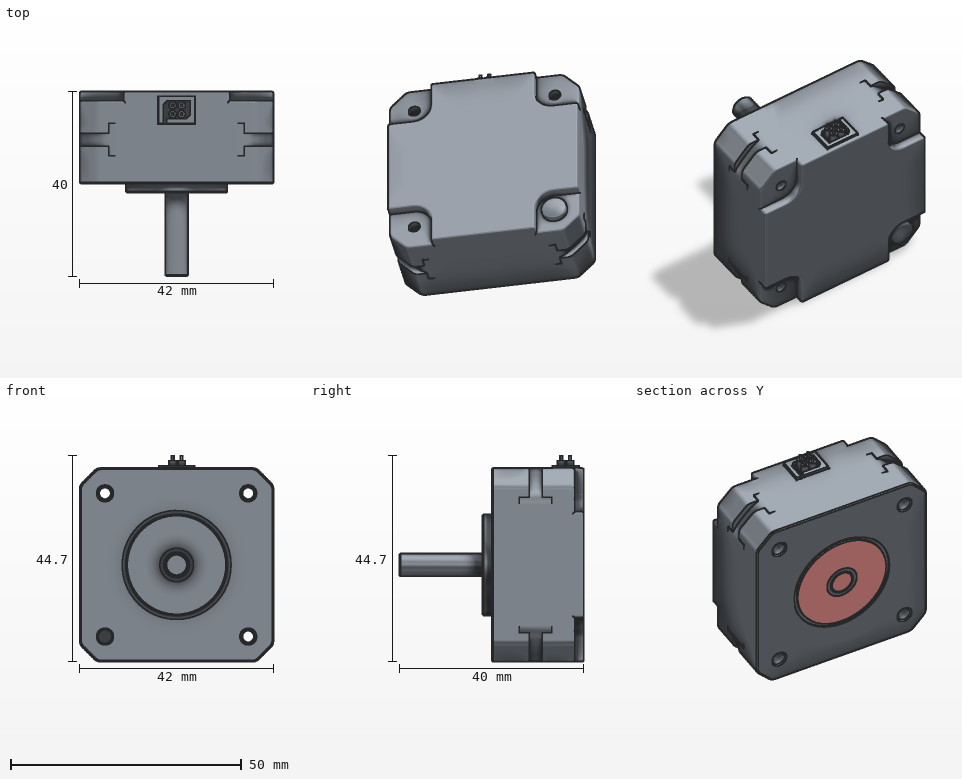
import cadquery as cq


body_side = 42.0
half_side = body_side / 2
body_length = 20.0
corner_cut = 3.8
corner_radius = 2.1
small_chamfer = 0.3

hole_offset = 15.5
tapped_diameter = 3.0
tapped_depth = 4.45
bolt_diameter = 2.5
hole_chamfer = 0.3
mouth_taper = 45.0

notch_depth = 2.0
notch_radius = 4.02
cover_fillet = 0.5

core_radius = 25.65
core_blend = 4.15
recess_setback = 10.45
recess_centre_y = body_length - recess_setback
stem_width = 2.8
bar_length = 7.0
bar_inner = 7.75
bar_outer = 6.35

screw_diameter = 5.6
screw_height = 1.85
screw_fillet = 0.5
screw_dome_radius = 6.35

pilot_diameter = 22.0
pilot_height = 2.0
groove_diameter = 23.6
groove_depth = 0.5
shaft_diameter = 5.0
shaft_reach = 20.03
shaft_bore = 7.3
shaft_bore_depth = 2.0
inner_bore = 5.6
inner_bore_depth = 4.02

plate_width = 7.82
plate_length = 5.8
plate_gap = 0.2
plate_height = 0.5
plate_setback = 4.0
plate_centre_y = body_length - plate_setback
socket_width = 5.8
socket_length = 3.85
socket_chamfer = 0.8
socket_depth = 4.02
channel_width = 0.8
pin_pitch = 1.9
pin_centre_x = 0.11
collar_diameter = 1.6
collar_top = 1.6
pin_diameter = 0.6
pin_top = 2.7


def plane_at(y):
    """Workplane at the given y with local axes X and Z; negative extrusions grow toward +Y."""
    return cq.Workplane("XZ", origin=(0, y, 0))


def rod(diameter, y_start, y_end, x=0.0, z=0.0):
    """Round bar along Y."""
    return plane_at(y_start).center(x, z).circle(diameter / 2).extrude(y_start - y_end)


def make_body():
    """Base block with a cross-shaped back cover that leaves four corner notches."""
    base = (
        plane_at(0).rect(body_side, body_side).extrude(notch_depth - body_length)
        .edges("|Y").chamfer(corner_cut)
        .edges("|Y").fillet(corner_radius)
        .faces("<Y").chamfer(small_chamfer)
        .faces(">Y").edges().fillet(cover_fillet)
    )
    cover_length = notch_depth + cover_fillet
    arm = 2 * (hole_offset - notch_radius)
    cover_start = body_length - cover_length
    upright = plane_at(cover_start).rect(arm, body_side).extrude(-cover_length)
    crossbar = plane_at(cover_start).rect(body_side, arm).extrude(-cover_length)
    cover = upright.union(crossbar).clean()
    cover = cover.edges("|Y and (not (>X or <X or >Z or <Z))").fillet(notch_radius)
    cover = cover.edges("|Y and (>X or <X or >Z or <Z)").fillet(cover_fillet)
    cover = cover.faces(">Y").edges().fillet(cover_fillet)
    return base.union(cover)


def make_recesses():
    """T-shaped cutters for all four corners, hollowed by the blended round core."""
    core = (
        plane_at(0).rect(body_side, body_side).extrude(-body_length)
        .intersect(rod(2 * core_radius, 0, body_length))
        .edges("|Y").fillet(core_blend)
    )
    stem_side = 2 * bar_inner
    bar_width = bar_inner - bar_outer
    bar_centre = half_side - (bar_inner + bar_outer) / 2
    cutters = cq.Workplane()
    for sx in (-1, 1):
        for sz in (-1, 1):
            stem = cq.Workplane().box(stem_side, stem_width, stem_side)
            cutters = cutters.add(stem.translate((sx * half_side, recess_centre_y, sz * half_side)))
            side_bar = cq.Workplane().box(bar_outer, bar_length, bar_width)
            cutters = cutters.add(side_bar.translate((sx * half_side, recess_centre_y, sz * bar_centre)))
            end_bar = cq.Workplane().box(bar_width, bar_length, bar_outer)
            cutters = cutters.add(end_bar.translate((sx * bar_centre, recess_centre_y, sz * half_side)))
    return cutters.combine().cut(core)


def cut_mounting_holes(body):
    """Tapped holes at the four corners; the lower left one is closed by the screw."""
    for sx in (-1, 1):
        for sz in (-1, 1):
            x = sx * hole_offset
            z = sz * hole_offset
            hole = rod(tapped_diameter, 0, tapped_depth, x, z)
            mouth_radius = tapped_diameter / 2 + hole_chamfer
            mouth = plane_at(0).center(x, z).circle(mouth_radius).extrude(-hole_chamfer, taper=mouth_taper)
            body = body.cut(hole).cut(mouth)
            if (sx, sz) != (-1, -1):
                body = body.cut(rod(bolt_diameter, 0, body_length, x, z))
    return body


def make_screw_head():
    """Domed head seated on the notch floor, with a rounded rim."""
    seat = body_length - notch_depth
    top = seat + screw_height
    head = rod(screw_diameter, seat, top, -hole_offset, -hole_offset)
    dome_centre = (-hole_offset, top - screw_dome_radius, -hole_offset)
    dome = cq.Workplane().sphere(screw_dome_radius).translate(dome_centre)
    return head.intersect(dome).edges("%CIRCLE and >Y").fillet(screw_fillet)


def add_pilot_and_shaft(body):
    """Grooved pilot disc with a stepped bore around the shaft."""
    pilot = rod(pilot_diameter, -pilot_height, groove_depth).faces("<Y").chamfer(small_chamfer)
    shaft = rod(shaft_diameter, -shaft_reach, inner_bore_depth - pilot_height)
    shaft = shaft.faces("<Y").chamfer(small_chamfer)
    body = body.cut(rod(groove_diameter, 0, groove_depth)).union(pilot)
    body = body.cut(rod(shaft_bore, -pilot_height, shaft_bore_depth - pilot_height))
    body = body.cut(rod(inner_bore, -pilot_height, inner_bore_depth - pilot_height))
    return body.union(shaft)


def add_connector(body):
    """Housing in a slot of the top face, with a keyed socket, a side channel and four stepped pins."""
    top = cq.Workplane("XY", origin=(0, plate_centre_y, half_side))
    floor = top.workplane(offset=plate_height - socket_depth)
    socket = (
        floor.rect(socket_width, socket_length).extrude(socket_depth)
        .edges("|Z and ((<X and >Y) or (>X and <Y))").chamfer(socket_chamfer)
    )
    channel_x = (channel_width - socket_width) / 2
    channel_length = plate_length / 2
    channel = floor.center(channel_x, -channel_length / 2).rect(channel_width, channel_length)
    channel = channel.extrude(socket_depth)
    slot_width = plate_width + 2 * plate_gap
    slot_length = plate_length + plate_gap
    slot = floor.center(0, -plate_gap / 2).rect(slot_width, slot_length).extrude(socket_depth)
    housing = floor.rect(plate_width, plate_length).extrude(socket_depth)
    body = body.cut(slot).union(housing).cut(socket).cut(channel)
    pins = floor.center(pin_centre_x, 0).rarray(pin_pitch, pin_pitch, 2, 2)
    floor_drop = socket_depth - plate_height
    body = body.union(pins.circle(collar_diameter / 2).extrude(floor_drop + collar_top))
    return body.union(pins.circle(pin_diameter / 2).extrude(floor_drop + pin_top))


result = make_body().cut(make_recesses())
result = cut_mounting_holes(result).union(make_screw_head())
result = add_connector(add_pilot_and_shaft(result))